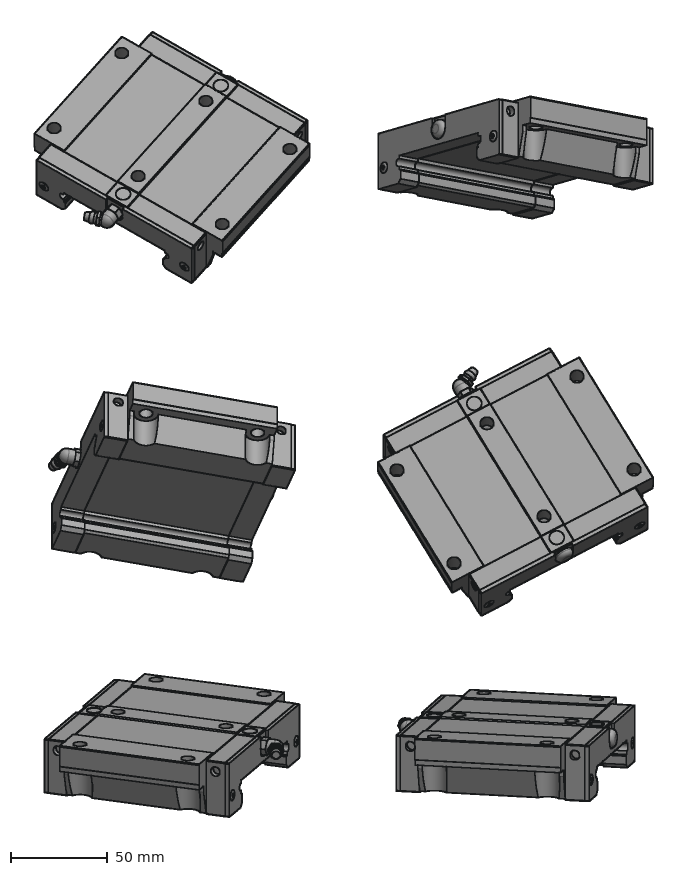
import cadquery as cq
import math


width = 120.0
height = 31.0
block_length = 77.6
block_bottom = 0.8
pad_inner_x = 40.8
recess_z = 30.1
rib_half_width = 6.7
rib_flare = 0.4
edge_chamfer_x = 0.4
edge_chamfer_z = 0.6
flange_bottom = 16.8
relief_top = 19.5
relief_depth = 0.4
leg_top_x = 54.5
leg_bottom_x = 50.2
leg_trim_x = 53.6

hole_diameter = 7.0
side_hole_x = 53.5
hole_spacing_y = 60.0
spotface_diameter = 13.0
blind_hole_depth = 10.8
drill_point_angle = 118.0

mouth_x = 33.1
lip_x = 31.1
wall_x = 32.0
lip_bottom = 2.2
lip_top = 6.6
lip_bevel = 0.4
ledge_z = 7.3
roof_z = 14.8
block_clearance = 0.4
track_radius = 2.0
track_x = 32.6
track_z = 11.2

cap_half_width = 49.7
cap_top = 29.8
cap_edge_chamfer = 0.5
cap_end_y = 49.2
plate_end_y = 51.4
plate_inset = 0.1
top_plug_diameter = 7.7
top_plug_recess = 0.2
top_plug_y = 43.3
side_port_diameter = 5.0
side_port_depth = 3.6
side_port_y = 43.8
side_port_z = 24.2
screw_radius = 2.9
screw_height = 0.8
screw_x = 44.8
screw_z = 10.7
cross_length = 2.2
cross_width = 0.6
cross_depth = 0.7

port_z = 22.8
port_slot_radius = 5.3
port_slot_depth = 1.3
plug_radius = 5.0
plug_end_y = 53.5
plug_rounding = 2.6
base_hex_flats = 8.2
base_hex_end_y = 53.8
elbow_radius = 4.1
elbow_y = 57.6
spout_angle = 23.0
spout_hex_flats = 7.2
spout_hex_start = 3.5
spout_hex_end = 5.2
spout_shoulder_radius = 3.2
spout_groove_radius = 2.8
spout_groove_at = 6.7
spout_collar_radius = 3.2
spout_collar_at = 7.8
spout_nose_radius = 2.8
spout_nose_at = 9.1
spout_tip_radius = 2.2
spout_length = 11.9


def box(x_min, x_max, y_min, y_max, z_min, z_max):
    size = (x_max - x_min, y_max - y_min, z_max - z_min)
    return cq.Workplane("XY").box(*size, centered=False).translate((x_min, y_min, z_min))


def mirrored_prism(half_outline, y_min, y_max):
    """Prism along Y whose section is the given right half outline and its mirror image."""
    left_half = [(-x, z) for x, z in reversed(half_outline)]
    section = cq.Workplane("XZ", origin=(0, y_max, 0)).polyline(half_outline + left_half).close()
    return section.extrude(y_max - y_min)


def rail_opening(clearance, y_min, y_max):
    outline = [
        (mouth_x, 0),
        (lip_x, lip_bottom),
        (lip_x, lip_top),
        (lip_x + lip_bevel, ledge_z),
        (wall_x, ledge_z),
        (track_x, track_z),
        (wall_x, roof_z),
    ]
    wider_outline = [(x + clearance, z) for x, z in outline[:-1]]
    wider_outline.append((wall_x + clearance, roof_z + clearance))
    opening = mirrored_prism(wider_outline, y_min, y_max)
    for side in (-1, 1):
        track = cq.Workplane("XZ", origin=(side * (track_x + clearance), y_max, track_z))
        opening = opening.union(track.circle(track_radius).extrude(y_max - y_min))
    return opening


def raised_rib(y_min, y_max, foot_z, top_z):
    outline = [(rib_half_width + rib_flare, foot_z), (rib_half_width, top_z)]
    return mirrored_prism(outline, y_min, y_max)


def steel_block():
    half_width = width / 2
    half_length = block_length / 2
    outline = [
        (leg_bottom_x, block_bottom),
        (leg_top_x, flange_bottom),
        (half_width - relief_depth, flange_bottom),
        (half_width - relief_depth, relief_top),
        (half_width, relief_top),
        (half_width, height - edge_chamfer_z),
        (half_width - edge_chamfer_x, height),
        (pad_inner_x, height),
        (pad_inner_x, recess_z),
        (rib_half_width + rib_flare, recess_z),
        (rib_half_width, height),
    ]
    body = mirrored_prism(outline, -half_length, half_length)
    body = body.cut(rail_opening(block_clearance, -half_length, half_length))
    for side in (-1, 1):
        trim_edges = sorted((side * leg_trim_x, side * half_width))
        for y_min, y_max in ((-half_length, -hole_spacing_y / 2), (hole_spacing_y / 2, half_length)):
            body = body.cut(box(*trim_edges, y_min, y_max, block_bottom, flange_bottom))
    return drill_mounting_holes(body)


def drill_mounting_holes(body):
    radius = hole_diameter / 2
    point_depth = radius / math.tan(math.radians(drill_point_angle / 2))
    floor_z = height - blind_hole_depth
    drill = (
        cq.Workplane("XZ")
        .polyline([(0, height), (radius, height), (radius, floor_z), (0, floor_z - point_depth)])
        .close()
        .revolve(360, (0, 0), (0, 1))
    )
    for y in (-hole_spacing_y / 2, hole_spacing_y / 2):
        body = body.cut(drill.translate((0, y, 0)))
        for x in (-side_hole_x, side_hole_x):
            through = cq.Workplane("XY").circle(radius).extrude(height)
            spotface = cq.Workplane("XY").circle(spotface_diameter / 2).extrude(flange_bottom)
            body = body.cut(through.union(spotface).translate((x, y, 0)))
    return body


def dome_radius(base_radius, rise):
    return (base_radius ** 2 + rise ** 2) / (2 * rise)


def screw_head():
    """Domed head with a cross recess, standing out of the -Y seal plate."""
    head = (
        cq.Workplane("XY")
        .moveTo(0, -plate_end_y)
        .lineTo(screw_radius, -plate_end_y)
        .radiusArc((0, -plate_end_y - screw_height), dome_radius(screw_radius, screw_height))
        .close()
        .revolve(360, (0, 0), (0, 1))
    )
    tip_y = -plate_end_y - screw_height
    for length, breadth in ((cross_length, cross_width), (cross_width, cross_length)):
        slot = cq.Workplane("XZ", origin=(0, tip_y + cross_depth, 0)).rect(length, breadth)
        head = head.cut(slot.extrude(cross_depth))
    return head


def cap_body(y_min, y_max, inset):
    half_width = cap_half_width - inset
    body = box(-half_width, half_width, y_min, y_max, 0, cap_top - inset)
    return body.edges("|Y").chamfer(cap_edge_chamfer)


def end_cap():
    """End cap and seal plate at the -Y end of the block."""
    inner_y = -block_length / 2
    cap = cap_body(-cap_end_y, inner_y, 0).union(cap_body(-plate_end_y, -cap_end_y, plate_inset))
    cap = cap.cut(rail_opening(0, -plate_end_y, inner_y))
    cap = cap.union(raised_rib(-cap_end_y, inner_y, cap_top, recess_z))

    slot_floor_y = port_slot_depth - plate_end_y
    slot = cq.Workplane("XZ", origin=(0, slot_floor_y, port_z)).circle(port_slot_radius)
    slot = slot.extrude(port_slot_depth)
    slot = slot.union(box(-port_slot_radius, port_slot_radius, -plate_end_y, slot_floor_y, port_z, height))
    cap = cap.cut(slot)

    top_plug = cq.Workplane("XY", origin=(0, -top_plug_y, recess_z)).circle(top_plug_diameter / 2)
    cap = cap.cut(top_plug.extrude(-top_plug_recess))
    for side in (-1, 1):
        port = cq.Workplane("YZ", origin=(side * cap_half_width, -side_port_y, side_port_z))
        cap = cap.cut(port.circle(side_port_diameter / 2).extrude(-side * side_port_depth))
        cap = cap.union(screw_head().translate((side * screw_x, 0, screw_z)))
    return cap


def port_plug():
    """Rounded plug closing the grease port of the +Y cap."""
    start_y = plate_end_y - port_slot_depth
    plug = cq.Workplane("XZ", origin=(0, start_y, port_z)).circle(plug_radius).extrude(start_y - plug_end_y)
    return plug.faces(">Y").edges().fillet(plug_rounding)


def hexagon(flats, start, end):
    """Hexagonal prism along -Y with two corners on the X axis."""
    across_corners = flats / math.cos(math.radians(30))
    return cq.Workplane("XZ", origin=(0, -start, 0)).polygon(6, across_corners).extrude(end - start)


def grease_nipple():
    """Elbow nipple of the -Y cap: hex base, round elbow and angled spout."""
    start_y = plate_end_y - port_slot_depth
    elbow = hexagon(base_hex_flats, start_y, base_hex_end_y)
    stem = cq.Workplane("XZ", origin=(0, -start_y, 0)).circle(elbow_radius).extrude(elbow_y - start_y)
    elbow = elbow.union(stem)
    elbow = elbow.union(cq.Workplane("XY").sphere(elbow_radius).translate((0, -elbow_y, 0)))

    spout = (
        cq.Workplane("XY")
        .lineTo(spout_shoulder_radius, 0)
        .lineTo(spout_shoulder_radius, -spout_hex_end)
        .lineTo(spout_groove_radius, -spout_groove_at)
        .threePointArc((spout_collar_radius, -spout_collar_at), (spout_nose_radius, -spout_nose_at))
        .lineTo(spout_tip_radius, -spout_length)
        .lineTo(0, -spout_length)
        .close()
        .revolve(360, (0, 0), (0, 1))
    )
    spout = spout.union(hexagon(spout_hex_flats, spout_hex_start, spout_hex_end))
    spout = spout.rotate((0, 0, 0), (0, 0, 1), spout_angle - 90).translate((0, -elbow_y, 0))
    return elbow.union(spout).translate((0, 0, port_z))


front_cap = end_cap()
back_cap = front_cap.mirror("XZ")
result = steel_block().union(front_cap).union(back_cap).union(port_plug()).union(grease_nipple())